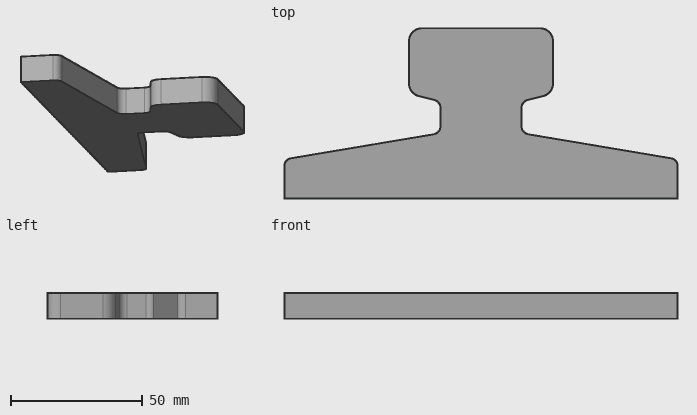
import cadquery as cq

thickness = 10.0
rail_height = 65.0

foot_width = 150.0
foot_edge_height = 15.0
foot_web_height = 25.0

web_width = 31.0

head_width = 55.0
head_side_height = 25.0
head_underside_slope = 1 / 4

head_radius = 5.0
web_radius = 3.0
foot_radius = 3.0

head_side_bottom = rail_height - head_side_height
head_overhang = (head_width - web_width) / 2
head_web_height = head_side_bottom - head_overhang * head_underside_slope


def rail_blank():
    """Full rail section with sharp corners."""
    right_side = [
        (foot_width / 2, 0),
        (foot_width / 2, foot_edge_height),
        (web_width / 2, foot_web_height),
        (web_width / 2, head_web_height),
        (head_width / 2, head_side_bottom),
        (head_width / 2, rail_height),
    ]
    left_side = [(-x, y) for x, y in reversed(right_side)]
    return cq.Workplane("XY").polyline(right_side + left_side).close().extrude(thickness)


def round_corners(body, half_width, heights, radius):
    """Round the upright edges at these heights on both sides of the rail."""
    corners = [(side * half_width, y, thickness / 2) for side in (-1, 1) for y in heights]
    edges = cq.Workplane("XY")
    for corner in corners:
        edges = edges.add(body.edges(cq.selectors.NearestToPointSelector(corner)))
    return body.newObject(edges.vals()).fillet(radius)


result = rail_blank()
result = round_corners(result, head_width / 2, [head_side_bottom, rail_height], head_radius)
result = round_corners(result, web_width / 2, [foot_web_height, head_web_height], web_radius)
result = round_corners(result, foot_width / 2, [foot_edge_height], foot_radius)